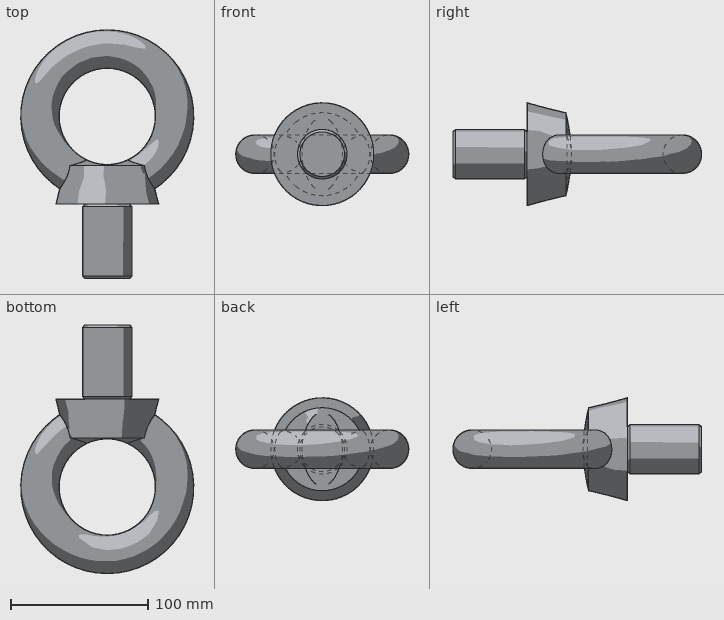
import cadquery as cq
import math

total_length = 181.0
wire_diameter = 28.0
eye_diameter = 69.9
collar_base_diameter = 75.0
collar_top_diameter = 60.5
collar_height = 28.0
crown_angle = 15.0
stud_diameter = 36.0
stud_length = 54.1
stud_chamfer = 1.8

ring_radius = (eye_diameter + wire_diameter) / 2
ring_outer_radius = ring_radius + wire_diameter / 2
stud_end_y = ring_outer_radius - total_length
collar_base_y = stud_end_y + stud_length
collar_top_y = collar_base_y + collar_height


def make_ring():
    """Round bar bent into a closed ring in the XY plane, joined inside the collar."""
    return (
        cq.Workplane("YZ")
        .center(-ring_radius, 0)
        .circle(wire_diameter / 2)
        .revolve(360, (ring_radius, 0, 0), (ring_radius, 1, 0))
    )


def make_collar_and_stud():
    """Turned body about Y: conical crown, tapered collar and a stud chamfered at both ends."""
    stud_radius = stud_diameter / 2
    chamfered_radius = stud_radius - stud_chamfer
    collar_top_radius = collar_top_diameter / 2
    crown_height = collar_top_radius * math.tan(math.radians(crown_angle))
    return (
        cq.Workplane("XY")
        .moveTo(0, stud_end_y)
        .lineTo(chamfered_radius, stud_end_y)
        .lineTo(stud_radius, stud_end_y + stud_chamfer)
        .lineTo(stud_radius, collar_base_y - stud_chamfer)
        .lineTo(chamfered_radius, collar_base_y)
        .lineTo(collar_base_diameter / 2, collar_base_y)
        .lineTo(collar_top_radius, collar_top_y)
        .lineTo(0, collar_top_y + crown_height)
        .close()
        .revolve(360, (0, 0, 0), (0, 1, 0))
    )


def make_eye_cutter():
    """Cylinder along Z that trims the crown flush with the inside of the ring."""
    return (
        cq.Workplane("XY")
        .circle(eye_diameter / 2)
        .extrude(collar_base_diameter / 2, both=True)
    )


eye_bolt = make_collar_and_stud().union(make_ring())
result = eye_bolt.cut(make_eye_cutter())